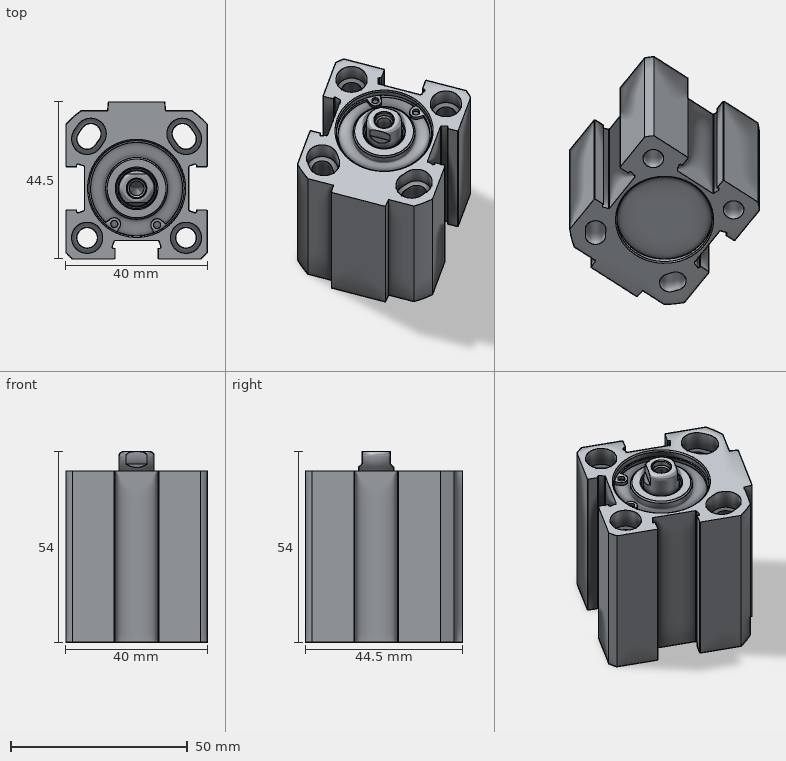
import cadquery as cq
import math

HALF_WIDTH = 20.005
BACK_Y = 22.0
BOSS_BACK_Y = 24.49
BOSS_ROOT_HALF = 8.2
BOSS_TIP_HALF = 8.0
CORNER_RADIUS = 27.0
TOTAL_HEIGHT = 54.0
ROD_STICKOUT = 5.5
HOUSING_HEIGHT = TOTAL_HEIGHT - ROD_STICKOUT

SLOT_FLOOR = 14.8
SLOT_FLOOR_HALF = 6.35
SLOT_THROAT_HALF = 6.1
SLOT_MOUTH_CHAMFER = 0.2
SLOT_LIP = 16.95
SLOT_HOOK_HALF = 6.9
SLOT_HOOK_CORNER = 0.3
SLOT_FLOOR_CHAMFER = 0.2
SLOT_ANGLES = (0, 90, -90)

HOLE_DIAMETER = 5.8
COUNTERBORE_DIAMETER = 8.8
COUNTERBORE_DEPTH = 5.9
HOLE_OFFSET = 14.0
OBLONG_SHIFT_X = -1.0
OBLONG_SHIFT_Y = 1.45

BORE_DIAMETER = 27.0
BORE_DEPTH = 14.05
BORE_CHAMFER = 0.4
GROOVE_DIAMETER = 28.4
GROOVE_EDGE_DEPTH = 2.0
RING_THICKNESS = 1.1
COVER_FACE_Z = HOUSING_HEIGHT - GROOVE_EDGE_DEPTH - RING_THICKNESS
BORE_FLOOR_Z = HOUSING_HEIGHT - BORE_DEPTH

RING_INNER_DIAMETER = 26.05
LUG_DISTANCE = 11.9
LUG_HOLE_DIAMETER = 2.0
LUG_RADIUS = 1.8
LUG_HALF_ANGLE = 30.7
LUG_FLARE_ANGLE = 21.0
RING_TURN = -1.4

COVER_DIAMETER = 26.9
COLLAR_DIAMETER = 17.5
COLLAR_TOP_DEPTH = 0.25
COLLAR_CHAMFER = 0.45
COLLAR_ROOT_FILLET = 0.4
WIPER_DIAMETER = 11.4
WIPER_DEPTH = 0.55
WIPER_CHAMFER = 0.3
CLEARANCE_DIAMETER = 10.5
CLEARANCE_DEPTH = 1.6

ROD_DIAMETER = 10.0
ROD_TOP_FILLET = 1.3
FLAT_WIDTH = 8.0
FLAT_LENGTH = 3.5
ENTRY_DIAMETER = 5.25
ENTRY_DEPTH = 1.75
CORE_DIAMETER = 4.15
CORE_DEPTH = 7.55
COUNTERSINK_DIAMETER = 5.8
DRILL_HALF_ANGLE = 59.0


def cylinder(diameter, bottom_z, top_z):
    """Return an upright cylinder on the Z axis."""
    return cq.Workplane("XY", origin=(0, 0, bottom_z)).circle(diameter / 2).extrude(top_z - bottom_z)


def make_housing_block():
    """Return the outer block with its rounded corners and the boss on its back."""
    block = cq.Workplane("XY").polyline([
        (-HALF_WIDTH, -HALF_WIDTH),
        (HALF_WIDTH, -HALF_WIDTH),
        (HALF_WIDTH, BACK_Y),
        (-HALF_WIDTH, BACK_Y),
    ]).close().extrude(HOUSING_HEIGHT)
    block = block.intersect(cylinder(2 * CORNER_RADIUS, 0, HOUSING_HEIGHT))
    boss = cq.Workplane("XY").polyline([
        (-BOSS_ROOT_HALF, 0),
        (BOSS_ROOT_HALF, 0),
        (BOSS_ROOT_HALF, BACK_Y),
        (BOSS_TIP_HALF, BOSS_BACK_Y),
        (-BOSS_TIP_HALF, BOSS_BACK_Y),
        (-BOSS_ROOT_HALF, BACK_Y),
    ]).close().extrude(HOUSING_HEIGHT)
    return block.union(boss)


def make_slot():
    """Return the cutter for the hooked sensor slot on the -Y side."""
    right_side = [
        (SLOT_THROAT_HALF + SLOT_MOUTH_CHAMFER, -HALF_WIDTH),
        (SLOT_THROAT_HALF, -HALF_WIDTH + SLOT_MOUTH_CHAMFER),
        (SLOT_THROAT_HALF, -SLOT_LIP),
        (SLOT_HOOK_HALF - SLOT_HOOK_CORNER, -SLOT_LIP),
        (SLOT_HOOK_HALF, -SLOT_LIP + SLOT_HOOK_CORNER),
        (SLOT_FLOOR_HALF, -SLOT_FLOOR - SLOT_FLOOR_CHAMFER),
        (SLOT_FLOOR_HALF - SLOT_FLOOR_CHAMFER, -SLOT_FLOOR),
    ]
    left_side = [(-x, y) for x, y in reversed(right_side)]
    return cq.Workplane("XY").polyline(right_side + left_side).close().extrude(HOUSING_HEIGHT)


def make_round_hole(x, y):
    """Return the cutter for a counterbored through hole."""
    hole = cylinder(HOLE_DIAMETER, 0, HOUSING_HEIGHT)
    counterbore = cylinder(COUNTERBORE_DIAMETER, HOUSING_HEIGHT - COUNTERBORE_DEPTH, HOUSING_HEIGHT)
    return hole.union(counterbore).translate((x, y, 0))


def make_oblong_hole(side):
    """Return the cutter for an oblong counterbored through hole; side is -1 (left) or 1 (right)."""
    shift_x = side * OBLONG_SHIFT_X
    shift = math.hypot(shift_x, OBLONG_SHIFT_Y)
    angle = math.degrees(math.atan2(OBLONG_SHIFT_Y, shift_x))
    centre = (side * HOLE_OFFSET + shift_x / 2, HOLE_OFFSET + OBLONG_SHIFT_Y / 2)
    hole = cq.Workplane("XY").center(*centre).slot2D(
        HOLE_DIAMETER + shift, HOLE_DIAMETER, angle).extrude(HOUSING_HEIGHT)
    counterbore = cq.Workplane("XY", origin=(0, 0, HOUSING_HEIGHT)).center(*centre).slot2D(
        COUNTERBORE_DIAMETER + shift, COUNTERBORE_DIAMETER, angle).extrude(-COUNTERBORE_DEPTH)
    return hole.union(counterbore)


def make_bore_mouth():
    """Return the cutter for the top mouth of the bore: chamfer, plain bore and ring groove."""
    radius = BORE_DIAMETER / 2
    groove_radius = GROOVE_DIAMETER / 2
    groove_edge_z = HOUSING_HEIGHT - GROOVE_EDGE_DEPTH
    return cq.Workplane("XZ").polyline([
        (0, COVER_FACE_Z),
        (groove_radius, COVER_FACE_Z),
        (groove_radius, groove_edge_z),
        (radius, groove_edge_z),
        (radius, HOUSING_HEIGHT - BORE_CHAMFER),
        (radius + BORE_CHAMFER, HOUSING_HEIGHT),
        (0, HOUSING_HEIGHT),
    ]).close().revolve(360, (0, 0, 0), (0, 1, 0))


def make_housing():
    """Return the housing, with the same grooved bore mouth at both ends."""
    housing = make_housing_block()
    for angle in SLOT_ANGLES:
        housing = housing.cut(make_slot().rotate((0, 0, 0), (0, 0, 1), angle))
    for side in (-1, 1):
        housing = housing.cut(make_round_hole(side * HOLE_OFFSET, -HOLE_OFFSET))
        housing = housing.cut(make_oblong_hole(side))
    top_mouth = make_bore_mouth()
    bottom_mouth = top_mouth.mirror("XY", (0, 0, HOUSING_HEIGHT / 2))
    cover_seat = cylinder(BORE_DIAMETER, BORE_FLOOR_Z, COVER_FACE_Z)
    return housing.cut(top_mouth).cut(bottom_mouth).cut(cover_seat)


def make_cover():
    """Return the rod cover: a disc with a raised collar and a stepped hole for the rod."""
    collar_top_z = HOUSING_HEIGHT - COLLAR_TOP_DEPTH
    cover = cylinder(COVER_DIAMETER, BORE_FLOOR_Z, COVER_FACE_Z)
    collar = cylinder(COLLAR_DIAMETER, COVER_FACE_Z, collar_top_z).faces(">Z").chamfer(COLLAR_CHAMFER)
    cover = cover.union(collar)
    root_edge = cq.selectors.RadiusNthSelector(0)
    cover = cover.faces("<Z[-2]").edges(root_edge).fillet(COLLAR_ROOT_FILLET)
    wiper_radius = WIPER_DIAMETER / 2
    wiper_floor_z = collar_top_z - WIPER_DEPTH - WIPER_CHAMFER
    clearance_floor_z = wiper_floor_z - CLEARANCE_DEPTH
    rod_hole = cq.Workplane("XZ").polyline([
        (0, BORE_FLOOR_Z),
        (ROD_DIAMETER / 2, BORE_FLOOR_Z),
        (ROD_DIAMETER / 2, clearance_floor_z),
        (CLEARANCE_DIAMETER / 2, clearance_floor_z),
        (CLEARANCE_DIAMETER / 2, wiper_floor_z),
        (wiper_radius, wiper_floor_z),
        (wiper_radius, collar_top_z - WIPER_CHAMFER),
        (wiper_radius + WIPER_CHAMFER, collar_top_z),
        (0, collar_top_z),
    ]).close().revolve(360, (0, 0, 0), (0, 1, 0))
    return cover.cut(rod_hole)


def make_lug():
    """Return the lug, without its hole, placed on -Y with its square side facing +X."""
    flare = math.radians(LUG_FLARE_ANGLE)
    tangent_x = -LUG_RADIUS * math.cos(flare)
    tangent_y = -LUG_DISTANCE + LUG_RADIUS * math.sin(flare)
    outer_y = -GROOVE_DIAMETER / 2
    outer_x = tangent_x - (tangent_y - outer_y) * math.tan(flare)
    return (
        cq.Workplane("XY", origin=(0, 0, COVER_FACE_Z))
        .moveTo(LUG_RADIUS, outer_y)
        .lineTo(LUG_RADIUS, -LUG_DISTANCE)
        .threePointArc((0, LUG_RADIUS - LUG_DISTANCE), (tangent_x, tangent_y))
        .lineTo(outer_x, outer_y)
        .close()
        .extrude(RING_THICKNESS)
    )


def make_ring():
    """Return the open retaining ring with a plier hole in each end lug."""
    ring_top_z = COVER_FACE_Z + RING_THICKNESS
    disc = cylinder(GROOVE_DIAMETER, COVER_FACE_Z, ring_top_z)
    ring = disc.cut(cylinder(RING_INNER_DIAMETER, COVER_FACE_Z, ring_top_z))
    gap_half_angle = math.radians(LUG_HALF_ANGLE)
    gap = cq.Workplane("XY", origin=(0, 0, COVER_FACE_Z)).polyline([
        (0, 0),
        (-GROOVE_DIAMETER * math.sin(gap_half_angle), -GROOVE_DIAMETER * math.cos(gap_half_angle)),
        (GROOVE_DIAMETER * math.sin(gap_half_angle), -GROOVE_DIAMETER * math.cos(gap_half_angle)),
    ]).close().extrude(RING_THICKNESS)
    ring = ring.cut(gap)
    left_lug = make_lug().rotate((0, 0, 0), (0, 0, 1), -LUG_HALF_ANGLE)
    plier_hole = cylinder(LUG_HOLE_DIAMETER, COVER_FACE_Z, ring_top_z).translate((0, -LUG_DISTANCE, 0))
    left_hole = plier_hole.rotate((0, 0, 0), (0, 0, 1), -LUG_HALF_ANGLE)
    for lug in (left_lug, left_lug.mirror("YZ")):
        ring = ring.union(lug.intersect(disc))
    for hole in (left_hole, left_hole.mirror("YZ")):
        ring = ring.cut(hole)
    return ring.rotate((0, 0, 0), (0, 0, 1), RING_TURN)


def make_flat_cutter():
    """Return the cutter for the wrench flat on +Y, whose lower end runs out at 45 degrees."""
    flat_y = FLAT_WIDTH / 2
    flat_end_z = TOTAL_HEIGHT - FLAT_LENGTH
    runout = ROD_DIAMETER / 2
    return cq.Workplane("YZ").polyline([
        (flat_y, TOTAL_HEIGHT),
        (flat_y, flat_end_z),
        (flat_y + runout, flat_end_z - runout),
        (flat_y + runout, TOTAL_HEIGHT),
    ]).close().extrude(ROD_DIAMETER / 2, both=True)


def make_rod():
    """Return the rod with wrench flats and a countersunk, stepped hole in its end."""
    rod = cylinder(ROD_DIAMETER, BORE_FLOOR_Z, TOTAL_HEIGHT).faces(">Z").edges().fillet(ROD_TOP_FILLET)
    flat_cutter = make_flat_cutter()
    rod = rod.cut(flat_cutter).cut(flat_cutter.mirror("XZ"))
    core_radius = CORE_DIAMETER / 2
    entry_radius = ENTRY_DIAMETER / 2
    countersink_radius = COUNTERSINK_DIAMETER / 2
    core_end_z = TOTAL_HEIGHT - CORE_DEPTH
    entry_end_z = TOTAL_HEIGHT - ENTRY_DEPTH
    drill_slope = 1 / math.tan(math.radians(DRILL_HALF_ANGLE))
    tip_z = core_end_z - core_radius * drill_slope
    core_start_z = entry_end_z - (entry_radius - core_radius) * drill_slope
    hole = cq.Workplane("XZ").polyline([
        (0, tip_z),
        (core_radius, core_end_z),
        (core_radius, core_start_z),
        (entry_radius, entry_end_z),
        (entry_radius, TOTAL_HEIGHT - (countersink_radius - entry_radius)),
        (countersink_radius, TOTAL_HEIGHT),
        (0, TOTAL_HEIGHT),
    ]).close().revolve(360, (0, 0, 0), (0, 1, 0))
    return rod.cut(hole)


housing = make_housing()
cover = make_cover()
ring = make_ring()
rod = make_rod()

result = cq.Compound.makeCompound([housing.val(), cover.val(), ring.val(), rod.val()])